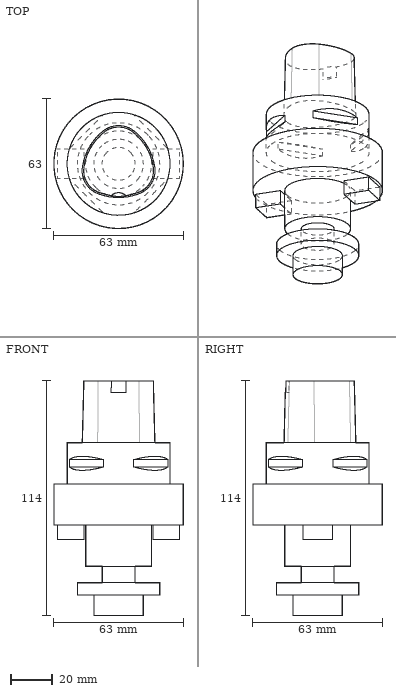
import cadquery as cq
import math


LOBE_COUNT = 3
LOBE_FIRST_ANGLE = 90.0
SHANK_LENGTH = 30.0
LOBE_REACH = 18.6
FLANK_REACH = 16.4
LOBE_RADIUS = 12.0
SHANK_INSET = 0.75

NOTCH_RADIUS = 5.0
NOTCH_INNER_Y = -14.0
NOTCH_DEPTH = 5.5

BODY_DIAMETER, BODY_LENGTH = 50.0, 20.0
FLANGE_DIAMETER, FLANGE_LENGTH = 63.0, 20.0
PILOT_DIAMETER, PILOT_LENGTH = 32.0, 20.0
NECK_DIAMETER, NECK_LENGTH = 16.0, 8.0
WASHER_DIAMETER, WASHER_LENGTH = 40.0, 6.0
SCREW_HEAD_DIAMETER, SCREW_HEAD_LENGTH = 24.0, 10.0

SLOT_COUNT = 4
SLOT_FIRST_ANGLE = 45.0
SLOT_Z = -10.0
SLOT_DEPTH = 2.9
SLOT_FLOOR_HEIGHT = 3.5
SLOT_WALL_ANGLE = 30.0

KEY_WIDTH = 14.2
KEY_HEIGHT = 7.0
KEY_INNER_X = 16.7
KEY_OUTER_X = 29.7

FLANGE_BOTTOM_Z = -(BODY_LENGTH + FLANGE_LENGTH)


def polar(radius, degrees):
    """Point at a radius and angle about the tool axis."""
    angle = math.radians(degrees)
    return (radius * math.cos(angle), radius * math.sin(angle))


def add_shank_outline(plane, inset):
    """Draw the lobed outline on a workplane, shrunk evenly by an inset."""
    lobe_pitch = 360 / LOBE_COUNT
    lobe_offset = LOBE_REACH - LOBE_RADIUS
    reach_gap = FLANK_REACH - LOBE_RADIUS
    flank_offset = (reach_gap**2 - lobe_offset**2) / (lobe_offset - 2 * reach_gap)

    flank_x, flank_y = polar(flank_offset, -lobe_pitch)
    joint_direction = math.atan2(-flank_y, lobe_offset - flank_x)
    radius = LOBE_RADIUS - inset
    joint_x = lobe_offset + radius * math.cos(joint_direction)
    joint_y = radius * math.sin(joint_direction)
    joint_reach = math.hypot(joint_x, joint_y)
    joint_angle = math.degrees(math.atan2(joint_y, joint_x))

    outline = plane.moveTo(*polar(joint_reach, LOBE_FIRST_ANGLE - joint_angle))
    for index in range(LOBE_COUNT):
        lobe = LOBE_FIRST_ANGLE + index * lobe_pitch
        outline = outline.threePointArc(
            polar(LOBE_REACH - inset, lobe),
            polar(joint_reach, lobe + joint_angle),
        )
        outline = outline.threePointArc(
            polar(FLANK_REACH - inset, lobe + lobe_pitch / 2),
            polar(joint_reach, lobe + lobe_pitch - joint_angle),
        )
    return outline.close()


def make_shank():
    base = add_shank_outline(cq.Workplane("XY"), 0)
    tip_plane = base.workplane(offset=SHANK_LENGTH)
    shank = add_shank_outline(tip_plane, SHANK_INSET).loft(ruled=True)
    notch = (
        cq.Workplane("XY", origin=(0, NOTCH_INNER_Y - NOTCH_RADIUS, SHANK_LENGTH))
        .circle(NOTCH_RADIUS)
        .extrude(-NOTCH_DEPTH)
    )
    return shank.cut(notch)


def make_round_stack():
    """Body, flange, pilot, neck, washer and screw head on one axis."""
    sections = (
        (BODY_DIAMETER, BODY_LENGTH),
        (FLANGE_DIAMETER, FLANGE_LENGTH),
        (PILOT_DIAMETER, PILOT_LENGTH),
        (NECK_DIAMETER, NECK_LENGTH),
        (WASHER_DIAMETER, WASHER_LENGTH),
        (SCREW_HEAD_DIAMETER, SCREW_HEAD_LENGTH),
    )
    stack = cq.Workplane("XY")
    top_z = 0.0
    for diameter, length in sections:
        section = cq.Workplane("XY", origin=(0, 0, top_z)).circle(diameter / 2).extrude(-length)
        stack = stack.union(section)
        top_z -= length
    return stack


def make_gripper_slot(angle):
    """Trapezoidal cutter whose floor is a flat facing the given angle."""
    body_radius = BODY_DIAMETER / 2
    floor_x = body_radius - SLOT_DEPTH
    half_floor = SLOT_FLOOR_HEIGHT / 2
    half_mouth = half_floor + SLOT_DEPTH * math.tan(math.radians(SLOT_WALL_ANGLE))
    return (
        cq.Workplane("XZ")
        .polyline([
            (floor_x, SLOT_Z - half_floor),
            (body_radius, SLOT_Z - half_mouth),
            (body_radius, SLOT_Z + half_mouth),
            (floor_x, SLOT_Z + half_floor),
        ])
        .close()
        .extrude(body_radius, both=True)
        .rotate((0, 0, 0), (0, 0, 1), angle)
    )


def make_drive_key(side):
    """Rectangular key below the flange on the +X (1) or -X (-1) side."""
    middle_x = side * (KEY_INNER_X + KEY_OUTER_X) / 2
    return (
        cq.Workplane("XY", origin=(middle_x, 0, FLANGE_BOTTOM_Z))
        .rect(KEY_OUTER_X - KEY_INNER_X, KEY_WIDTH)
        .extrude(-KEY_HEIGHT)
    )


holder = make_round_stack().union(make_shank())

for index in range(SLOT_COUNT):
    holder = holder.cut(make_gripper_slot(SLOT_FIRST_ANGLE + index * 360 / SLOT_COUNT))

for key_side in (-1, 1):
    holder = holder.union(make_drive_key(key_side))

result = holder